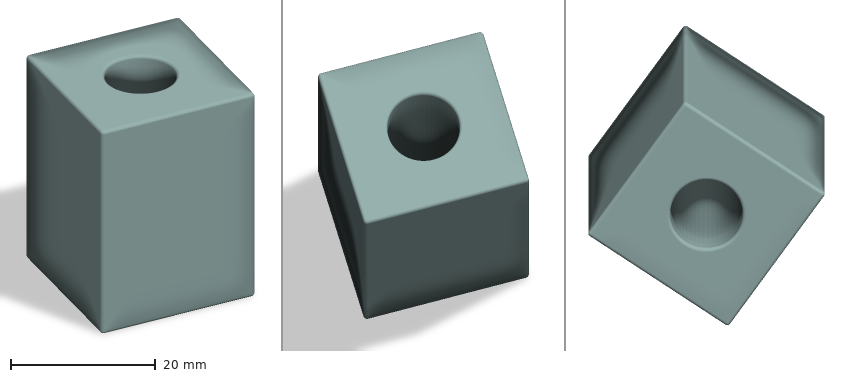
import cadquery as cq

width = 23.75
height = 32.5
edge_radius = 0.5

hole_diameter = 10.0
rim_radius = 0.5


def rounded_block():
    """Square block with every outer edge rounded."""
    return cq.Workplane("XY").box(width, width, height).edges().fillet(edge_radius)


def drill_hole(block):
    """Cut the central hole through the block and round both of its rims."""
    drilled = block.faces(">Z").workplane(origin=(0, 0, 0)).hole(hole_diameter)
    return drilled.faces("<Z or >Z").edges("%CIRCLE").fillet(rim_radius)


result = drill_hole(rounded_block())